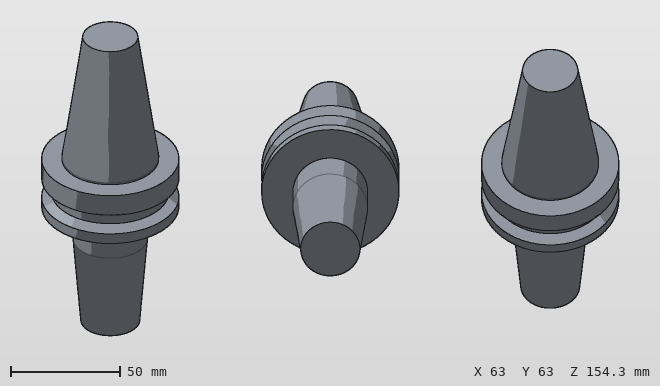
import cadquery as cq

total_length = 154.3
flange_diameter = 63.0

shank_length = 65.5
shank_large_diameter = 44.5
shank_taper_rate = 7 / 24
collar_length = 1.0

flange_thickness = 26.0
lower_rim_thickness = 5.2
groove_diameter = 53.9
groove_floor_width = 5.0
groove_side_height = 2.6

neck_diameter = 34.3
tip_length = 44.6
tip_diameter = 27.2

shank_base_z = total_length - shank_length
collar_base_z = shank_base_z - collar_length
flange_base_z = collar_base_z - flange_thickness
groove_bottom_z = flange_base_z + lower_rim_thickness
floor_bottom_z = groove_bottom_z + groove_side_height
floor_top_z = floor_bottom_z + groove_floor_width
groove_top_z = floor_top_z + groove_side_height

shank_small_diameter = shank_large_diameter - shank_length * shank_taper_rate

half_profile = [
    (0, 0),
    (tip_diameter / 2, 0),
    (neck_diameter / 2, tip_length),
    (neck_diameter / 2, flange_base_z),
    (flange_diameter / 2, flange_base_z),
    (flange_diameter / 2, groove_bottom_z),
    (groove_diameter / 2, floor_bottom_z),
    (groove_diameter / 2, floor_top_z),
    (flange_diameter / 2, groove_top_z),
    (flange_diameter / 2, collar_base_z),
    (shank_large_diameter / 2, collar_base_z),
    (shank_large_diameter / 2, shank_base_z),
    (shank_small_diameter / 2, total_length),
    (0, total_length),
]

result = (
    cq.Workplane("XZ")
    .polyline(half_profile)
    .close()
    .revolve(360, (0, 0, 0), (0, 1, 0))
)